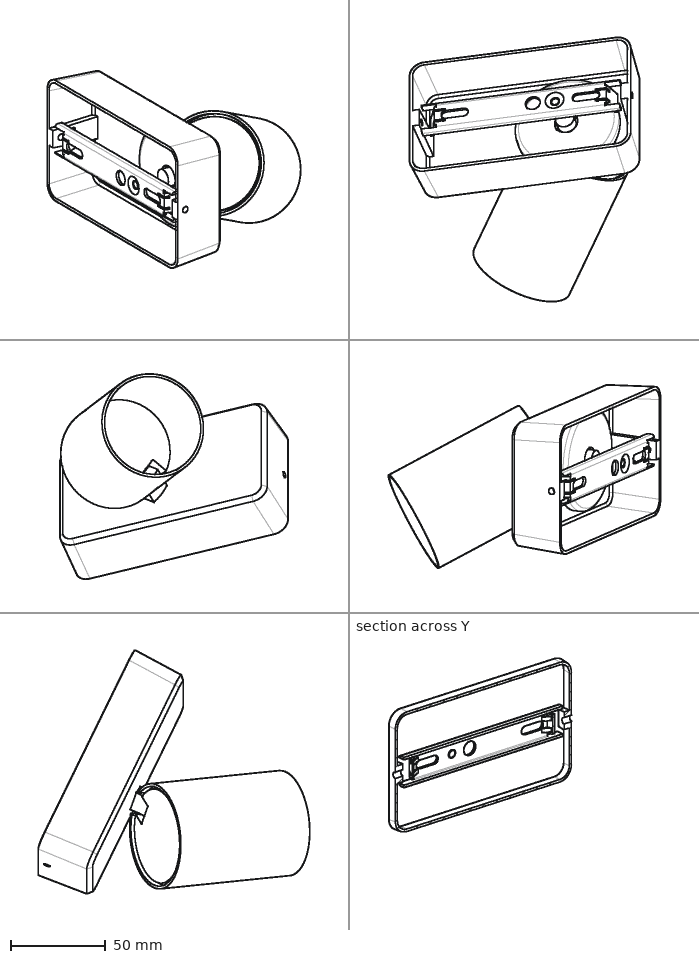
import cadquery as cq
import math

HOUSING_LENGTH = 120.0
HOUSING_HEIGHT = 70.0
HOUSING_DEPTH = 30.0
DRAFT = 3.0
CORNER_RADIUS = 8.0
FRONT_CHAMFER = 2.3
WALL = 1.75
FLOOR = 2.0
CAVITY_DEPTH = HOUSING_DEPTH - FLOOR
CAVITY_CHAMFER = 1.4
LUG_INNER_X = 54.7
LUG_WIDTH = 10.0
SCREW_HOLE_DIAMETER = 3.4
SCREW_HOLE_Y = 5.0

BRACKET_LENGTH = 107.5
BRACKET_HEIGHT = 17.6
BRACKET_DEPTH = 4.5
BRACKET_Y = 0.5
SHEET = 1.5
BEND_RADIUS = 2.0
WEB_END_X = 45.7
TAB_BEND_X = 46.6
TAB_TIP_X = 50.7
TAB_TIP_Y = 10.5
TAB_WIDTH = 11.3
SLOT_CENTRE_X = 35.6
SLOT_LENGTH = 14.7
SLOT_WIDTH = 5.0
KNOCKOUT_X = 6.8
KNOCKOUT_DIAMETER = 8.0
EARTH_HOLE_X = 18.6
EARTH_HOLE_DIAMETER = 4.0
COUNTERSINK_DIAMETER = 10.0
COUNTERSINK_END_DIAMETER = 4.8
COUNTERSINK_DEPTH = 1.2
GUSSET_Z = 3.3
GUSSET_WIDTH = 2.4
GUSSET_GROOVE_WIDTH = 1.0
GUSSET_SHEET = 1.0
GUSSET_START_X = 40.8
GUSSET_END_X = 47.8

SWIVEL_X = 20.0
DISC_DIAMETER = 56.0
DISC_THICKNESS = 6.0
DISC_FILLET = 2.0
DISC_FACE_Y = CAVITY_DEPTH - DISC_THICKNESS
PIN_DIAMETER = 10.0
PIN_END_Y = 18.6
PIN_RECESS_DIAMETER = 12.5
PIN_RECESS_DEPTH = 2.0
ARM_INNER_REACH = 18.0
ARM_OUTER_RADIUS = 25.0
ARM_WIDTH = 12.0
ARM_TOP_Y = 44.0

SWING_ANGLE = 38.0
TILT_ANGLE = 44.5
TUBE_DIAMETER = 56.0
TUBE_BORE = 53.0
TUBE_LENGTH = 78.0
REAR_DISTANCE = 34.16
AXIS_OFFSET = 36.62
TUBE_SLOT_WIDTH = 16.0
TUBE_SLOT_DEPTH = 16.0
PLUG_DEPTH = 20.0
PLUG_FACE_DIAMETER = 50.0
PLUG_FACE_RECESS = 1.3
PLUG_SHOULDER_RECESS = 4.3
PLUG_SLOT_WIDTH = 12.7
PLUG_SLOT_FLOOR = 20.1

BACK_PLANE = cq.Plane(origin=(0, 0, 0), xDir=(1, 0, 0), normal=(0, 1, 0))

swing = math.radians(SWING_ANGLE)
swing_frame = cq.Plane(
    origin=(SWIVEL_X, 0, 0),
    xDir=(-math.cos(swing), 0, -math.sin(swing)),
    normal=(math.sin(swing), 0, -math.cos(swing)),
)
head_frame = swing_frame.rotated((0, 0, TILT_ANGLE))
rim_plane = cq.Plane(
    origin=head_frame.toWorldCoords((REAR_DISTANCE, AXIS_OFFSET, 0)),
    xDir=head_frame.yDir,
    normal=head_frame.xDir,
)


def drafted_block(length, height, depth, corner_radius):
    block = cq.Workplane(BACK_PLANE).rect(length, height).extrude(depth, taper=DRAFT)
    return block.edges("not(#Y)").fillet(corner_radius)


def make_arm():
    """Bar with a flat inner side and an outer side concentric with the disc."""
    arm_plane = cq.Plane(
        origin=(SWIVEL_X, CAVITY_DEPTH, 0), xDir=swing_frame.xDir, normal=(0, 1, 0)
    )
    half_width = ARM_WIDTH / 2
    corner_reach = math.sqrt(ARM_OUTER_RADIUS**2 - half_width**2)
    return (
        cq.Workplane(arm_plane)
        .moveTo(ARM_INNER_REACH, -half_width)
        .lineTo(corner_reach, -half_width)
        .threePointArc((ARM_OUTER_RADIUS, 0), (corner_reach, half_width))
        .lineTo(ARM_INNER_REACH, half_width)
        .close()
        .extrude(ARM_TOP_Y - CAVITY_DEPTH)
    )


def make_lugs():
    """Blocks at both ends of the cavity that widen toward its floor."""
    length = HOUSING_LENGTH / 2
    spread = 2 * HOUSING_DEPTH * math.tan(math.radians(DRAFT))
    lug = (
        cq.Workplane(BACK_PLANE)
        .center(LUG_INNER_X + length / 2, 0)
        .rect(length, LUG_WIDTH)
        .workplane(offset=HOUSING_DEPTH)
        .rect(length + spread, LUG_WIDTH + spread)
        .loft()
    )
    return lug.union(lug.mirror("YZ"))


def make_housing(arm):
    shell = drafted_block(HOUSING_LENGTH, HOUSING_HEIGHT, HOUSING_DEPTH, CORNER_RADIUS)
    shell = shell.faces(">Y").chamfer(FRONT_CHAMFER)
    cavity = drafted_block(
        HOUSING_LENGTH - 2 * WALL, HOUSING_HEIGHT - 2 * WALL, CAVITY_DEPTH, CORNER_RADIUS - WALL
    )
    cavity = cavity.faces(">Y").chamfer(CAVITY_CHAMFER).cut(make_lugs())
    screw_holes = (
        cq.Workplane("YZ")
        .center(SCREW_HOLE_Y, 0)
        .circle(SCREW_HOLE_DIAMETER / 2)
        .extrude(HOUSING_LENGTH, both=True)
    )
    return shell.cut(cavity).cut(screw_holes).cut(arm)


def disc_cylinder(diameter, start_y, end_y):
    """Cylinder along Y on the swivel axis."""
    return (
        cq.Workplane(BACK_PLANE)
        .workplane(offset=start_y)
        .center(SWIVEL_X, 0)
        .circle(diameter / 2)
        .extrude(end_y - start_y)
    )


def make_swivel(arm):
    recess_floor_y = DISC_FACE_Y + PIN_RECESS_DEPTH
    disc = disc_cylinder(DISC_DIAMETER, DISC_FACE_Y, CAVITY_DEPTH).faces("<Y").fillet(DISC_FILLET)
    recess = disc_cylinder(PIN_RECESS_DIAMETER, DISC_FACE_Y, recess_floor_y)
    pin = disc_cylinder(PIN_DIAMETER, PIN_END_Y, recess_floor_y)
    return disc.cut(recess).union(pin).union(arm)


def make_channel():
    outer = (
        cq.Workplane(BACK_PLANE)
        .workplane(offset=BRACKET_Y)
        .rect(BRACKET_LENGTH, BRACKET_HEIGHT)
        .extrude(BRACKET_DEPTH)
        .edges("|X and <Y")
        .fillet(BEND_RADIUS)
    )
    inner = (
        cq.Workplane(BACK_PLANE)
        .workplane(offset=BRACKET_Y + SHEET)
        .rect(BRACKET_LENGTH, BRACKET_HEIGHT - 2 * SHEET)
        .extrude(BRACKET_DEPTH)
        .edges("|X and <Y")
        .fillet(BEND_RADIUS - SHEET)
    )
    end_length = BRACKET_LENGTH / 2 - WEB_END_X
    end_openings = (
        cq.Workplane(BACK_PLANE)
        .pushPoints([(side * (WEB_END_X + end_length / 2), 0) for side in (-1, 1)])
        .rect(end_length, BRACKET_HEIGHT - 2 * SHEET)
        .extrude(HOUSING_DEPTH)
    )
    return outer.cut(inner).cut(end_openings)


def sheet_prism(points, width, centre_z=0.0):
    """Extrude an X-Y outline symmetrically about the height centre_z."""
    return (
        cq.Workplane("XY", origin=(0, 0, centre_z))
        .polyline(points)
        .close()
        .extrude(width / 2, both=True)
    )


def make_tab():
    """Tongue at the +X end, bent from the web to slope into the housing."""
    back_y = BRACKET_Y + SHEET
    slope = math.atan2(TAB_TIP_X - TAB_BEND_X, TAB_TIP_Y - BRACKET_Y)
    sheet_x = SHEET / math.cos(slope)
    inner_bend_x = TAB_BEND_X + SHEET * math.tan(slope) - sheet_x
    return sheet_prism(
        [
            (inner_bend_x - SHEET, BRACKET_Y),
            (TAB_BEND_X, BRACKET_Y),
            (TAB_TIP_X, TAB_TIP_Y),
            (TAB_TIP_X - sheet_x, TAB_TIP_Y),
            (inner_bend_x, back_y),
            (inner_bend_x - SHEET, back_y),
        ],
        TAB_WIDTH,
    )


def gusset_line():
    """Ends of the pressed groove floor, on the web and on the tab face."""
    rise_per_x = (TAB_TIP_Y - BRACKET_Y) / (TAB_TIP_X - TAB_BEND_X)
    end_y = BRACKET_Y + (GUSSET_END_X - TAB_BEND_X) * rise_per_x
    return (GUSSET_START_X, BRACKET_Y), (GUSSET_END_X, end_y)


def make_gusset(centre_z):
    """Rib behind the bend, backing the pressed groove."""
    (start_x, start_y), (end_x, end_y) = gusset_line()
    corner = (TAB_BEND_X, BRACKET_Y)
    return sheet_prism(
        [
            (start_x, start_y),
            corner,
            (end_x, end_y),
            (end_x - GUSSET_SHEET, end_y + GUSSET_SHEET),
            (start_x, start_y + GUSSET_SHEET),
        ],
        GUSSET_WIDTH,
        centre_z,
    )


def make_gusset_groove(centre_z):
    start, end = gusset_line()
    return sheet_prism([start, (TAB_TIP_X, BRACKET_Y), end], GUSSET_GROOVE_WIDTH, centre_z)


def make_bracket():
    bracket = make_channel()
    tab = make_tab()
    for centre_z in (-GUSSET_Z, GUSSET_Z):
        tab = tab.union(make_gusset(centre_z))
    bracket = bracket.union(tab).union(tab.mirror("YZ"))
    for centre_z in (-GUSSET_Z, GUSSET_Z):
        groove = make_gusset_groove(centre_z)
        bracket = bracket.cut(groove).cut(groove.mirror("YZ"))

    web = cq.Workplane(BACK_PLANE)
    web_cut_depth = BRACKET_Y + SHEET
    slots = (
        web.pushPoints([(-SLOT_CENTRE_X, 0), (SLOT_CENTRE_X, 0)])
        .slot2D(SLOT_LENGTH, SLOT_WIDTH)
        .extrude(web_cut_depth)
    )
    knockout = web.center(KNOCKOUT_X, 0).circle(KNOCKOUT_DIAMETER / 2).extrude(web_cut_depth)
    earth_hole = web.center(EARTH_HOLE_X, 0).circle(EARTH_HOLE_DIAMETER / 2).extrude(web_cut_depth)
    countersink = cq.Workplane(
        cq.Solid.makeCone(
            COUNTERSINK_DIAMETER / 2,
            COUNTERSINK_END_DIAMETER / 2,
            COUNTERSINK_DEPTH,
            pnt=cq.Vector(EARTH_HOLE_X, BRACKET_Y, 0),
            dir=cq.Vector(0, 1, 0),
        )
    )
    return bracket.cut(slots).cut(knockout).cut(earth_hole).cut(countersink)


def make_tube():
    tube = (
        cq.Workplane(rim_plane)
        .circle(TUBE_DIAMETER / 2)
        .circle(TUBE_BORE / 2)
        .extrude(TUBE_LENGTH)
    )
    slot_plane = cq.Plane(
        origin=rim_plane.origin, xDir=head_frame.xDir, normal=-head_frame.yDir
    )
    half_width = TUBE_SLOT_WIDTH / 2
    straight = TUBE_SLOT_DEPTH - half_width
    slot = (
        cq.Workplane(slot_plane)
        .moveTo(0, -half_width)
        .lineTo(straight, -half_width)
        .threePointArc((TUBE_SLOT_DEPTH, 0), (straight, half_width))
        .lineTo(0, half_width)
        .close()
        .extrude(TUBE_DIAMETER)
    )
    return tube.cut(slot)


def make_plug():
    body = (
        cq.Workplane(rim_plane)
        .workplane(offset=PLUG_SHOULDER_RECESS)
        .circle(TUBE_BORE / 2)
        .extrude(PLUG_DEPTH - PLUG_SHOULDER_RECESS)
    )
    face = (
        cq.Workplane(rim_plane)
        .workplane(offset=PLUG_FACE_RECESS)
        .circle(PLUG_FACE_DIAMETER / 2)
        .extrude(PLUG_SHOULDER_RECESS - PLUG_FACE_RECESS)
    )
    slot = (
        cq.Workplane(head_frame)
        .moveTo(REAR_DISTANCE, 0)
        .lineTo(REAR_DISTANCE, PLUG_SLOT_FLOOR)
        .lineTo(REAR_DISTANCE + PLUG_DEPTH, PLUG_SLOT_FLOOR)
        .lineTo(REAR_DISTANCE + PLUG_DEPTH, 0)
        .close()
        .extrude(PLUG_SLOT_WIDTH / 2, both=True)
    )
    return body.union(face).cut(slot)


arm = make_arm()
housing = make_housing(arm)
swivel = make_swivel(arm)
bracket = make_bracket()
tube = make_tube()
plug = make_plug()

result = cq.Compound.makeCompound(
    [housing.val(), swivel.val(), bracket.val(), tube.val(), plug.val()]
)